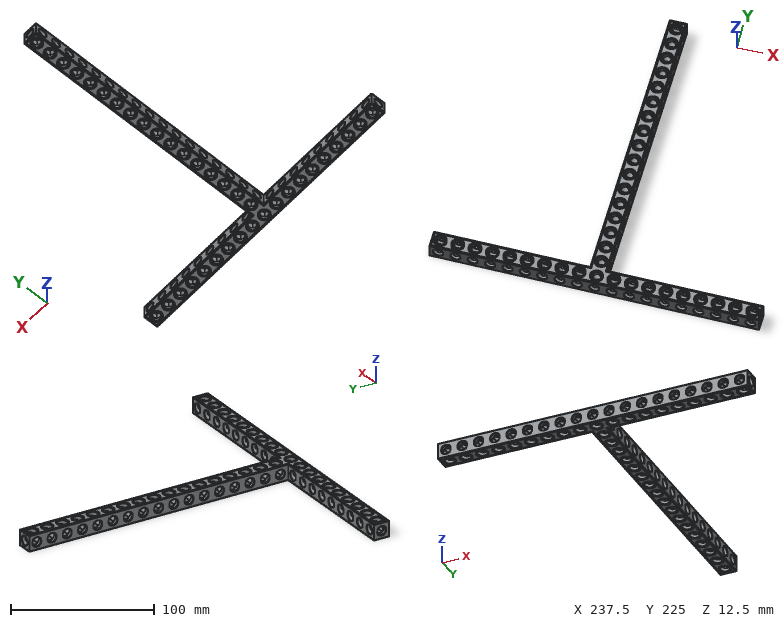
import cadquery as cq

bar_length = 237.5
bar_holes = 19
stem_holes = 17
hole_diameter = 7.0
hole_chamfer = 0.35
edge_chamfer = 0.33
rim_width = 1.07
ring_diameter = 9.3
recess_depth = 0.2

pitch = bar_length / bar_holes
half_width = pitch / 2
half_length = bar_length / 2
stem_end = stem_holes * pitch + half_width
bar_positions = [(i - (bar_holes - 1) / 2) * pitch for i in range(bar_holes)]
stem_positions = [(i + 1) * pitch for i in range(stem_holes)]
vertical_axes = [(x, 0) for x in bar_positions] + [(0, y) for y in stem_positions]


def tee_plate(inset, thickness):
    """T-shaped plate on the XY plane, its outline set in from the sides of the beams."""
    side = half_width - inset
    bar_end = half_length - inset
    return (
        cq.Workplane("XY")
        .moveTo(-bar_end, -side)
        .lineTo(bar_end, -side)
        .lineTo(bar_end, side)
        .lineTo(side, side)
        .lineTo(side, stem_end - inset)
        .lineTo(-side, stem_end - inset)
        .lineTo(-side, side)
        .lineTo(-bar_end, side)
        .close()
        .extrude(thickness)
    )


def tee_body():
    """Solid T beam with its top, bottom and end edges chamfered, centred on Z."""
    body = tee_plate(0, pitch).translate((0, 0, -half_width))
    return body.edges("<Z or >Z or (|Z and (<X or >X or >Y))").chamfer(edge_chamfer)


def face_recess():
    """Shallow cutter for a flat face: leaves an outer rim and a ring around every hole."""
    rings = cq.Workplane("XY").pushPoints(vertical_axes).circle(ring_diameter / 2).extrude(recess_depth)
    return tee_plate(rim_width, recess_depth).cut(rings)


def chamfered_hole(start, direction, length):
    """Through-hole cutter with a conical mouth at both ends."""
    axis = cq.Vector(*direction)
    near = cq.Vector(*start)
    far = near + axis * length
    bore_radius = hole_diameter / 2
    mouth_radius = bore_radius + hole_chamfer
    bore = cq.Solid.makeCylinder(bore_radius, length, near, axis)
    near_mouth = cq.Solid.makeCone(mouth_radius, bore_radius, hole_chamfer, near, axis)
    far_mouth = cq.Solid.makeCone(mouth_radius, bore_radius, hole_chamfer, far, -axis)
    return bore.fuse(near_mouth, far_mouth)


def all_holes():
    """Cutters for every hole; the holes along the two beams run their whole length."""
    cutters = [chamfered_hole((x, y, -half_width), (0, 0, 1), pitch) for x, y in vertical_axes]
    for x in bar_positions:
        length = half_width + (stem_end if x == 0 else half_width)
        cutters.append(chamfered_hole((x, -half_width, 0), (0, 1, 0), length))
    for y in stem_positions:
        cutters.append(chamfered_hole((-half_width, y, 0), (1, 0, 0), pitch))
    cutters.append(chamfered_hole((-half_length, 0, 0), (1, 0, 0), bar_length))
    return cutters


result = tee_body()

result = result.cut(face_recess().translate((0, 0, half_width - recess_depth)))
result = result.cut(face_recess().translate((0, 0, -half_width)))

for cutter in all_holes():
    result = result.cut(cq.Workplane(obj=cutter))